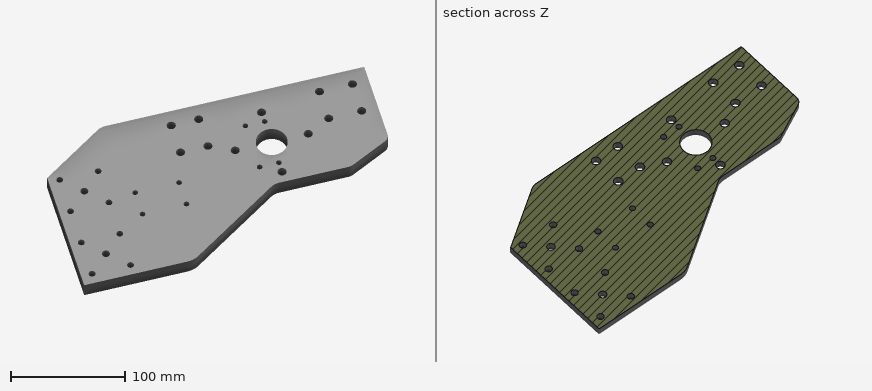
import cadquery as cq

LENGTH = 300.0
WIDTH = 160.0
THICKNESS = 15.0
NECK_WIDTH = 100.0
TOP_EDGE_WIDTH = 80.0
NECK_TOP_Y = 260.0
NECK_BOTTOM_Y = 190.0
SHOULDER_Y = 100.0
CUT_WIDTH = 40.0
CUT_HEIGHT = 60.0

TOP_CORNER_RADIUS = 7.25
NECK_TOP_RADIUS = 9.0
NECK_BOTTOM_RADIUS = 13.75
SHOULDER_RADIUS = 19.5
CUT_TOP_RADIUS = 13.75

MOUNT_DIAMETER = 8.0
MOUNT_COLUMNS = (15.0, 45.0)
MOUNT_ROWS = (285.0, 255.0, 145.0, 120.0)

BORE_DIAMETER = 28.0
BORE_X = 56.0
BORE_Y = 200.0
BOLT_DIAMETER = 8.0
BOLT_CIRCLE_RADIUS = 33.25
BOLT_COUNT = 4
SIDE_HOLE_DIAMETER = 5.0
SIDE_HOLE_OFFSET = 23.0
SIDE_HOLE_DROP = 17.5

MIDDLE_HOLE_DIAMETER = 5.0
MIDDLE_COLUMNS = (76.0, 100.0)
MIDDLE_ROWS = (110.0, 70.0)

FOOT_HOLE_DIAMETER = 6.0
FOOT_PITCH = 35.0
FOOT_COLUMN_COUNT = 4
FOOT_X = 45.0
FOOT_Y = 10.0
CELL_HOLE_DIAMETER = 7.0


def make_plate():
    """Extrude the outline and round its oblique corners."""
    top_corner = (TOP_EDGE_WIDTH, LENGTH)
    neck_top = (NECK_WIDTH, NECK_TOP_Y)
    neck_bottom = (NECK_WIDTH, NECK_BOTTOM_Y)
    shoulder = (WIDTH, SHOULDER_Y)
    cut_top = (0, CUT_HEIGHT)
    outline = [
        (CUT_WIDTH, 0),
        (WIDTH, 0),
        shoulder,
        neck_bottom,
        neck_top,
        top_corner,
        (0, LENGTH),
        cut_top,
    ]
    plate = cq.Workplane("XY").polyline(outline).close().extrude(THICKNESS)
    rounded_corners = [
        (top_corner, TOP_CORNER_RADIUS),
        (neck_top, NECK_TOP_RADIUS),
        (neck_bottom, NECK_BOTTOM_RADIUS),
        (shoulder, SHOULDER_RADIUS),
        (cut_top, CUT_TOP_RADIUS),
    ]
    for corner, radius in rounded_corners:
        plate = round_corner(plate, corner, radius)
    return plate


def round_corner(plate, corner, radius):
    """Fillet the vertical edge standing at the given outline corner."""
    edge_middle = (*corner, THICKNESS / 2)
    return plate.edges(cq.selectors.NearestToPointSelector(edge_middle)).fillet(radius)


def drill(plate, points, diameter):
    """Cut through holes of one diameter at the given points."""
    pins = cq.Workplane("XY").pushPoints(points).circle(diameter / 2).extrude(THICKNESS)
    return plate.cut(pins)


def grid(columns, rows):
    """List every crossing of the given column and row positions."""
    return [(x, y) for x in columns for y in rows]


def cut_bore_group(plate):
    """Cut the bore, its bolt circle and the small holes beside it."""
    plate = drill(plate, [(BORE_X, BORE_Y)], BORE_DIAMETER)
    bolts = (
        cq.Workplane("XY")
        .center(BORE_X, BORE_Y)
        .polarArray(BOLT_CIRCLE_RADIUS, startAngle=0, angle=360, count=BOLT_COUNT)
        .circle(BOLT_DIAMETER / 2)
        .extrude(THICKNESS)
    )
    plate = plate.cut(bolts)
    columns = (BORE_X - SIDE_HOLE_OFFSET, BORE_X + SIDE_HOLE_OFFSET)
    rows = (BORE_Y, BORE_Y - SIDE_HOLE_DROP)
    return drill(plate, grid(columns, rows), SIDE_HOLE_DIAMETER)


def cut_foot_holes(plate):
    """Cut the foot grid and the cell holes between its two rows."""
    columns = [FOOT_X + i * FOOT_PITCH for i in range(FOOT_COLUMN_COUNT)]
    rows = (FOOT_Y, FOOT_Y + FOOT_PITCH)
    plate = drill(plate, grid(columns, rows), FOOT_HOLE_DIAMETER)
    half_pitch = FOOT_PITCH / 2
    cell_columns = (columns[0] + half_pitch, columns[-1] - half_pitch)
    cell_rows = (FOOT_Y + half_pitch,)
    return drill(plate, grid(cell_columns, cell_rows), CELL_HOLE_DIAMETER)


result = make_plate()
result = drill(result, grid(MOUNT_COLUMNS, MOUNT_ROWS), MOUNT_DIAMETER)
result = cut_bore_group(result)
result = drill(result, grid(MIDDLE_COLUMNS, MIDDLE_ROWS), MIDDLE_HOLE_DIAMETER)
result = cut_foot_holes(result)